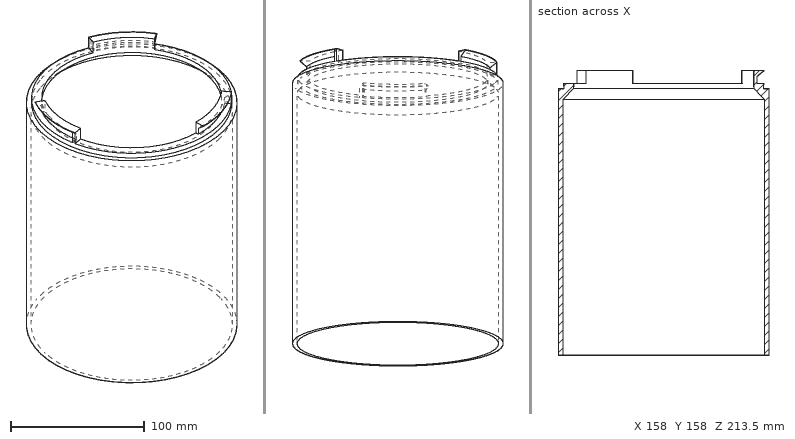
import cadquery as cq
total_height = 213.5
body_diameter = 158.0
socket_diameter = 151.0
spigot_diameter = 150.0
mouth_diameter = 135.0

tab_height = 9.6
spigot_height = 4.0

tab_count = 3
tab_angle = 40.0
first_tab_start = 20.0
stop_angle = 1.6
stem_thickness = 2.5
lip_edge_height = 0.5
lip_slope_height = 4.0

cut_clearance = 2.1
clearance_angle = 5.0

body_radius = body_diameter / 2
socket_radius = socket_diameter / 2
spigot_radius = spigot_diameter / 2
mouth_radius = mouth_diameter / 2
stem_radius = mouth_radius + stem_thickness

rim_z = total_height - tab_height
shoulder_z = rim_z - spigot_height
cone_bottom_z = shoulder_z - (socket_radius - mouth_radius)


def revolve_profile(points, start=0.0, sweep=360.0):
    """Revolve an (r, z) outline about Z from a start angle."""
    solid = cq.Workplane("XZ").polyline(points).close().revolve(sweep, (0, 0, 0), (0, 1, 0))
    return solid.rotate((0, 0, 0), (0, 0, 1), start)


def make_tube():
    """Thin-walled tube whose bore narrows through a cone into the spigot at its top."""
    return revolve_profile([
        (socket_radius, 0),
        (body_radius, 0),
        (body_radius, shoulder_z),
        (spigot_radius, shoulder_z),
        (spigot_radius, rim_z),
        (mouth_radius, rim_z),
        (mouth_radius, shoulder_z),
        (socket_radius, cone_bottom_z),
    ])


def make_tab(start):
    """Hooked tab: a stem with a sloped outer lip, closed by a full-depth stop at its far end."""
    lip_edge_z = total_height - lip_edge_height
    block = revolve_profile([
        (mouth_radius, rim_z),
        (spigot_radius, rim_z),
        (spigot_radius, total_height),
        (mouth_radius, total_height),
    ], start, tab_angle)
    lip_slope = (spigot_radius - stem_radius) / lip_slope_height
    undercut_radius = spigot_radius + cut_clearance * lip_slope
    undercut = revolve_profile([
        (stem_radius, rim_z),
        (undercut_radius, rim_z),
        (undercut_radius, lip_edge_z + cut_clearance),
        (stem_radius, lip_edge_z - lip_slope_height),
    ], start - clearance_angle, tab_angle - stop_angle + clearance_angle)
    return block.cut(undercut)


result = make_tube()
for index in range(tab_count):
    result = result.union(make_tab(first_tab_start + index * 360 / tab_count))